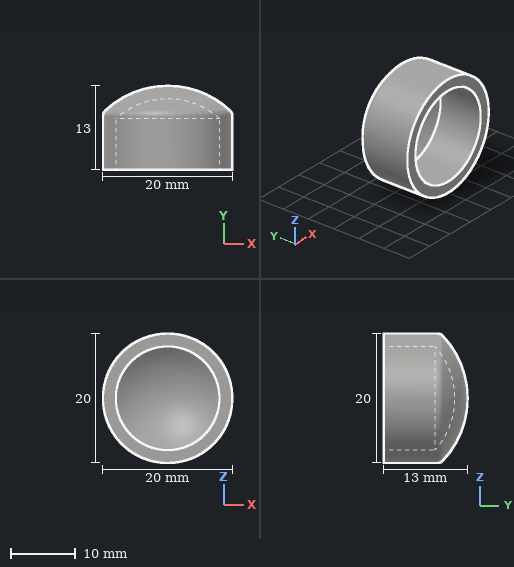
import cadquery as cq
import math

outer_diameter = 20.0
wall_thickness = 2.0
total_height = 13.0
dome_radius = 14.0
shoulder_fillet = 1.0

outer_radius = outer_diameter / 2
inner_radius = outer_radius - wall_thickness
inner_dome_radius = dome_radius - wall_thickness
dome_center_y = total_height - dome_radius


def domed_plug(radius, sphere_radius):
    """Solid cylinder along +Y from Y = 0, closed by a spherical dome centred on the Y axis."""
    shoulder_y = dome_center_y + math.sqrt(sphere_radius**2 - radius**2)
    half_angle = math.asin(radius / sphere_radius) / 2
    arc_middle = (
        sphere_radius * math.sin(half_angle),
        dome_center_y + sphere_radius * math.cos(half_angle),
    )
    apex = (0, dome_center_y + sphere_radius)
    profile = (
        cq.Workplane("XY")
        .lineTo(radius, 0)
        .lineTo(radius, shoulder_y)
        .threePointArc(arc_middle, apex)
        .close()
    )
    return profile.revolve(360, (0, 0, 0), (0, 1, 0))


body = domed_plug(outer_radius, dome_radius)
shoulder_edge = body.faces("%CYLINDER").edges("%CIRCLE").edges(">Y")
body = shoulder_edge.fillet(shoulder_fillet)

cavity = domed_plug(inner_radius, inner_dome_radius)
result = body.cut(cavity)